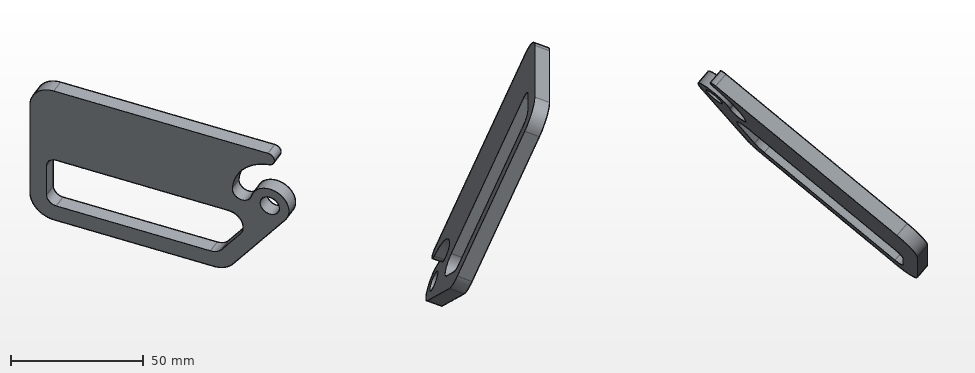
import cadquery as cq
import math

length = 108.0
height = 62.0
thickness = 6.0
corner_radius = 10.0
lower_right_corner_x = 76.8

eye_radius = 8.0
eye_hole_radius = 4.0
eye_center = (length - eye_radius, 37.0)

nose_radius = 2.7
nose_center = (99.3, height - nose_radius)
notch_end_radius = 4.0
notch_end_angle = 166.0
notch_arc_radius = 18.0

rim = 7.0
window_top = 28.9
window_left_radius = 4.0
window_right_radius = 6.0


def polar(center, radius, angle):
    """Point on a circle, with the angle in radians."""
    return (center[0] + radius * math.cos(angle), center[1] + radius * math.sin(angle))


def direction(start, end):
    """Angle in radians of the line from start to end."""
    return math.atan2(end[1] - start[1], end[0] - start[0])


def arc_to(sketch, center, radius, start, end):
    """Add an arc running from angle start to angle end."""
    middle = polar(center, radius, (start + end) / 2)
    return sketch.threePointArc(middle, polar(center, radius, end))


lower_right_center = (lower_right_corner_x, corner_radius)
center_distance = math.dist(lower_right_center, eye_center)
slant = direction(lower_right_center, eye_center) + math.asin((corner_radius - eye_radius) / center_distance)
slant_normal = slant - math.pi / 2

eye_to_notch = math.radians(notch_end_angle)
notch_end_center = polar(eye_center, eye_radius + notch_end_radius, eye_to_notch)

to_nose = notch_arc_radius + nose_radius
to_notch_end = notch_arc_radius - notch_end_radius
span = math.dist(notch_end_center, nose_center)
apex_cosine = (span**2 + to_notch_end**2 - to_nose**2) / (2 * span * to_notch_end)
apex_direction = direction(notch_end_center, nose_center) - math.acos(apex_cosine)
notch_arc_center = polar(notch_end_center, to_notch_end, apex_direction)
arc_to_nose = direction(notch_arc_center, nose_center)
arc_to_notch_end = direction(notch_arc_center, notch_end_center) % (2 * math.pi)


def make_plate():
    """Plate with rounded corners, hook notch and eye, centred on Y = 0."""
    right, up, left, down = 0, math.pi / 2, math.pi, 1.5 * math.pi
    lower_left_center = (corner_radius, corner_radius)
    upper_left_center = (corner_radius, height - corner_radius)

    outline = cq.Workplane("XZ").moveTo(corner_radius, 0).lineTo(lower_right_corner_x, 0)
    outline = arc_to(outline, lower_right_center, corner_radius, -up, slant_normal)
    outline = outline.lineTo(*polar(eye_center, eye_radius, slant_normal))
    outline = arc_to(outline, eye_center, eye_radius, slant_normal, right)
    outline = arc_to(outline, eye_center, eye_radius, right, eye_to_notch)
    outline = arc_to(outline, notch_end_center, notch_end_radius,
                     eye_to_notch - math.pi, arc_to_notch_end - 2 * math.pi)
    outline = arc_to(outline, notch_arc_center, notch_arc_radius, arc_to_notch_end, arc_to_nose)
    outline = arc_to(outline, nose_center, nose_radius, arc_to_nose - math.pi, up)
    outline = outline.lineTo(corner_radius, height)
    outline = arc_to(outline, upper_left_center, corner_radius, up, left)
    outline = outline.lineTo(0, corner_radius)
    outline = arc_to(outline, lower_left_center, corner_radius, left, down)
    return outline.close().extrude(thickness).translate((0, thickness / 2, 0))


def make_window():
    """Handle opening whose right side runs parallel to the slanted edge."""
    wall_point = polar(lower_right_center, corner_radius - rim, slant_normal)

    def wall_x(z):
        return wall_point[0] + (z - wall_point[1]) / math.tan(slant)

    corners = [(rim, rim), (wall_x(rim), rim), (wall_x(window_top), window_top), (rim, window_top)]
    window = cq.Workplane("XZ").polyline(corners).close().extrude(thickness).translate((0, thickness / 2, 0))
    window = window.edges("|Y and <X").fillet(window_left_radius)
    right_half = cq.selectors.BoxSelector((length / 2, -thickness, 0), (length, thickness, height))
    return window.edges("|Y").edges(right_half).fillet(window_right_radius)


def make_eye_hole():
    """Through hole concentric with the eye."""
    hole = cq.Workplane("XZ").center(*eye_center).circle(eye_hole_radius).extrude(thickness)
    return hole.translate((0, thickness / 2, 0))


result = make_plate().cut(make_window()).cut(make_eye_hole())